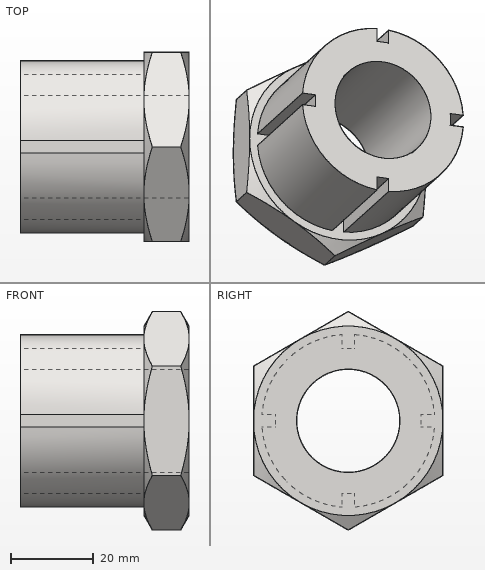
import cadquery as cq
import math

SLEEVE_LENGTH = 30.0
SLEEVE_DIAMETER = 42.0
BORE_DIAMETER = 25.0
HEAD_THICKNESS = 11.0
HEAD_SIDES = 6
HEAD_ACROSS_FLATS = 46.0
HEAD_CHAMFER_ANGLE = 30.0
SLOT_COUNT = 4
SLOT_WIDTH = 3.0
SLOT_FLOOR_RADIUS = 17.6

TOTAL_LENGTH = SLEEVE_LENGTH + HEAD_THICKNESS
HEAD_ACROSS_CORNERS = HEAD_ACROSS_FLATS / math.cos(math.pi / HEAD_SIDES)
FLAT_RADIUS = HEAD_ACROSS_FLATS / 2
CORNER_RADIUS = HEAD_ACROSS_CORNERS / 2
CHAMFER_DEPTH = (CORNER_RADIUS - FLAT_RADIUS) * math.tan(math.radians(HEAD_CHAMFER_ANGLE))


def make_sleeve():
    """Round sleeve from the free end at X = 0 to the head."""
    return cq.Workplane("YZ").circle(SLEEVE_DIAMETER / 2).extrude(SLEEVE_LENGTH)


def make_head():
    """Hexagon with corners at +Z and -Z, turned down conically on both faces."""
    hexagon = (
        cq.Workplane("YZ", origin=(SLEEVE_LENGTH, 0, 0))
        .transformed(rotate=(0, 0, 90))
        .polygon(HEAD_SIDES, HEAD_ACROSS_CORNERS)
        .extrude(HEAD_THICKNESS)
    )
    turned_blank = (
        cq.Workplane("XY")
        .moveTo(SLEEVE_LENGTH, 0)
        .lineTo(SLEEVE_LENGTH, FLAT_RADIUS)
        .lineTo(SLEEVE_LENGTH + CHAMFER_DEPTH, CORNER_RADIUS)
        .lineTo(TOTAL_LENGTH - CHAMFER_DEPTH, CORNER_RADIUS)
        .lineTo(TOTAL_LENGTH, FLAT_RADIUS)
        .lineTo(TOTAL_LENGTH, 0)
        .close()
        .revolve(360, (0, 0, 0), (1, 0, 0))
    )
    return hexagon.intersect(turned_blank)


def cut_slots(sleeve):
    """Straight grooves along the full sleeve, equally spaced around the axis."""
    slot_height = SLEEVE_DIAMETER / 2 - SLOT_FLOOR_RADIUS
    slot = cq.Workplane("XY", origin=(0, 0, SLOT_FLOOR_RADIUS)).box(
        SLEEVE_LENGTH, SLOT_WIDTH, slot_height, centered=(False, True, False)
    )
    for index in range(SLOT_COUNT):
        angle = index * 360.0 / SLOT_COUNT
        sleeve = sleeve.cut(slot.rotate((0, 0, 0), (1, 0, 0), angle))
    return sleeve


def make_bore():
    """Cylinder that opens the part from end to end."""
    return cq.Workplane("YZ").circle(BORE_DIAMETER / 2).extrude(TOTAL_LENGTH)


result = cut_slots(make_sleeve()).union(make_head()).cut(make_bore())